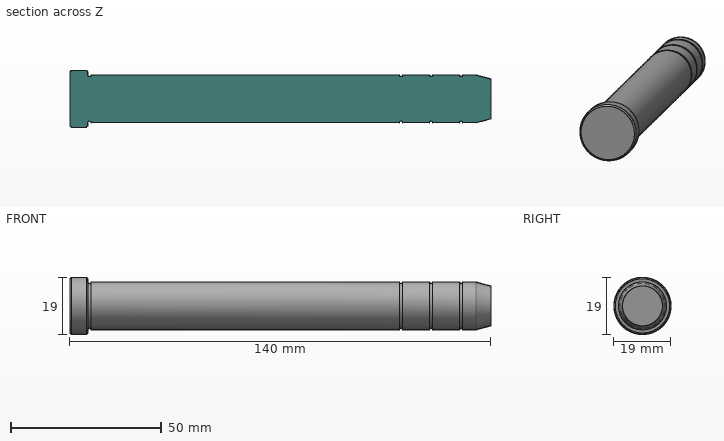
import cadquery as cq

length = 140.0
head_diameter = 19.0
head_length = 6.0
head_chamfer = 0.5
shank_diameter = 16.0

undercut_width = 1.0
undercut_depth = 0.5

nose_length = 5.0
nose_drop = 1.35

groove_count = 3
groove_width = 1.0
groove_depth = 0.5
first_groove_center = 110.0
last_groove_center = 130.0

head_radius = head_diameter / 2
shank_radius = shank_diameter / 2
groove_pitch = (last_groove_center - first_groove_center) / (groove_count - 1)


def ring_cutter(start, width, depth):
    """Ring with a circular-arc section, cut into the shank surface."""
    return (
        cq.Workplane("XY")
        .moveTo(start, shank_radius)
        .threePointArc((start + width / 2, shank_radius - depth), (start + width, shank_radius))
        .close()
        .revolve(360, (0, 0, 0), (1, 0, 0))
    )


def make_head():
    """Round head with both rims chamfered."""
    return cq.Workplane("YZ").circle(head_radius).extrude(head_length).edges().chamfer(head_chamfer)


def make_shank():
    """Straight shank that ends in a tapered lead-in nose."""
    nose_start = length - nose_length
    end_radius = shank_radius - nose_drop
    return (
        cq.Workplane("XY")
        .lineTo(0, shank_radius - undercut_depth)
        .lineTo(head_length, shank_radius - undercut_depth)
        .lineTo(head_length, shank_radius)
        .lineTo(nose_start, shank_radius)
        .lineTo(length, end_radius)
        .lineTo(length, 0)
        .close()
        .revolve(360, (0, 0, 0), (1, 0, 0))
    )


result = make_head().union(make_shank())
result = result.cut(ring_cutter(head_length, undercut_width, undercut_depth))
for index in range(groove_count):
    groove_center = first_groove_center + index * groove_pitch
    result = result.cut(ring_cutter(groove_center - groove_width / 2, groove_width, groove_depth))